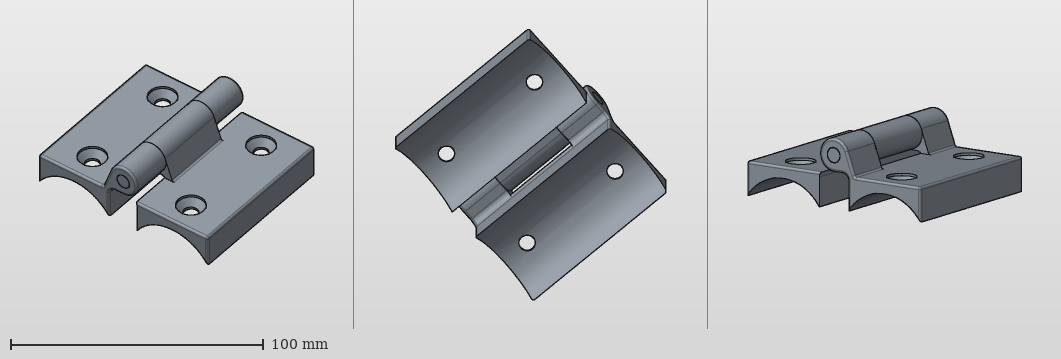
import cadquery as cq
import math

LENGTH_X = 84.0
WIDTH_Y = 70.0
HEIGHT_Z = 28.7

PLATE_TOP = 14.2
GAP = 13.95
EDGE_RADIUS = 1.0
SADDLE_RADIUS = 21.0

KNUCKLE_RADIUS = 6.8
FLANK_ANGLE = 20.0
FOOT_RADIUS = 1.0
THROAT_RADIUS = 2.9
MIDDLE_KNUCKLE_LENGTH = 32.0

PIN_DIAMETER = 6.0
PIN_FIXED_HOLE_DIAMETER = PIN_DIAMETER
PIN_LOOSE_HOLE_DIAMETER = 6.2

SCREW_DIAMETER = 6.5
SCREW_HEAD_DIAMETER = 12.2
SCREW_HEAD_RECESS = 1.0
SCREW_CONE_ANGLE = 90.0
SCREW_SPACING_Y = 45.9

OUTER_X = LENGTH_X / 2
INNER_X = GAP / 2
LEAF_LENGTH = OUTER_X - INNER_X
LEAF_CENTRE_X = (OUTER_X + INNER_X) / 2
AXIS_Z = HEIGHT_Z - KNUCKLE_RADIUS
SADDLE_CENTRE_Z = -math.sqrt(SADDLE_RADIUS**2 - (LEAF_LENGTH / 2) ** 2)
END_KNUCKLE_LENGTH = (WIDTH_Y - MIDDLE_KNUCKLE_LENGTH) / 2
END_KNUCKLE_Y = (WIDTH_Y - END_KNUCKLE_LENGTH) / 2


def cylinder_along_y(radius, x, z):
    """Cylinder as long as the hinge is wide."""
    return cq.Workplane("XZ").center(x, z).circle(radius).extrude(WIDTH_Y / 2, both=True)


def leaf_blank():
    """Left leaf with a knuckle over its full width and a flat underside."""
    flank = math.radians(FLANK_ANGLE)
    tangent_x = -KNUCKLE_RADIUS * math.cos(flank)
    tangent_z = AXIS_Z + KNUCKLE_RADIUS * math.sin(flank)
    foot_x = tangent_x - (tangent_z - PLATE_TOP) * math.tan(flank)
    underside_z = AXIS_Z - KNUCKLE_RADIUS
    profile = (
        cq.Workplane("XZ")
        .moveTo(-OUTER_X, 0)
        .lineTo(-OUTER_X, PLATE_TOP)
        .lineTo(foot_x, PLATE_TOP)
        .lineTo(tangent_x, tangent_z)
        .threePointArc((KNUCKLE_RADIUS, AXIS_Z), (0, underside_z))
        .lineTo(THROAT_RADIUS - INNER_X, underside_z)
        .tangentArcPoint((-INNER_X, underside_z - THROAT_RADIUS), relative=False)
        .lineTo(-INNER_X, 0)
        .close()
    )
    blank = profile.extrude(WIDTH_Y / 2, both=True)
    foot_edge = cq.selectors.NearestToPointSelector((foot_x, 0, PLATE_TOP))
    return blank.edges(foot_edge).fillet(FOOT_RADIUS)


def knuckle_gap(length, centre_y):
    """Space above the plate that is cleared for a knuckle of the other leaf."""
    return (
        cq.Workplane("XY", origin=(0, centre_y, PLATE_TOP))
        .rect(LENGTH_X, length)
        .extrude(HEIGHT_Z)
    )


def screw_hole(y):
    """Countersunk hole: straight rim, cone and through hole."""
    hole_radius = SCREW_DIAMETER / 2
    head_radius = SCREW_HEAD_DIAMETER / 2
    cone_top = PLATE_TOP - SCREW_HEAD_RECESS
    cone_depth = (head_radius - hole_radius) / math.tan(math.radians(SCREW_CONE_ANGLE / 2))
    return (
        cq.Workplane("XZ", origin=(-LEAF_CENTRE_X, y, 0))
        .moveTo(0, 0)
        .lineTo(hole_radius, 0)
        .lineTo(hole_radius, cone_top - cone_depth)
        .lineTo(head_radius, cone_top)
        .lineTo(head_radius, PLATE_TOP)
        .lineTo(0, PLATE_TOP)
        .close()
        .revolve(360, (0, 0, 0), (0, 1, 0))
    )


def left_hand_leaf(gaps, rounded_end_edges, pin_hole_diameter):
    """Leaf on the -X side, with knuckle gaps given as (length, centre y)."""
    leaf = leaf_blank()
    for length, centre_y in gaps:
        leaf = leaf.cut(knuckle_gap(length, centre_y))
    end_edges = leaf.faces("<Y or >Y").edges(rounded_end_edges)
    outer_edges = leaf.faces("<X").edges("not <Z")
    leaf = end_edges.add(outer_edges).fillet(EDGE_RADIUS)
    leaf = leaf.cut(cylinder_along_y(SADDLE_RADIUS, -LEAF_CENTRE_X, SADDLE_CENTRE_Z))
    leaf = leaf.cut(cylinder_along_y(pin_hole_diameter / 2, 0, AXIS_Z))
    for side in (-1, 1):
        leaf = leaf.cut(screw_hole(side * SCREW_SPACING_Y / 2))
    return leaf


left_leaf = left_hand_leaf([(MIDDLE_KNUCKLE_LENGTH, 0)], "not <Z", PIN_LOOSE_HOLE_DIAMETER)

end_gaps = [(END_KNUCKLE_LENGTH, side * END_KNUCKLE_Y) for side in (-1, 1)]
right_leaf = left_hand_leaf(end_gaps, ">Z", PIN_FIXED_HOLE_DIAMETER).mirror("YZ")

pin = cylinder_along_y(PIN_DIAMETER / 2, 0, AXIS_Z)

bodies = [left_leaf, right_leaf, pin]
result = cq.Compound.makeCompound([body.solids().val() for body in bodies])